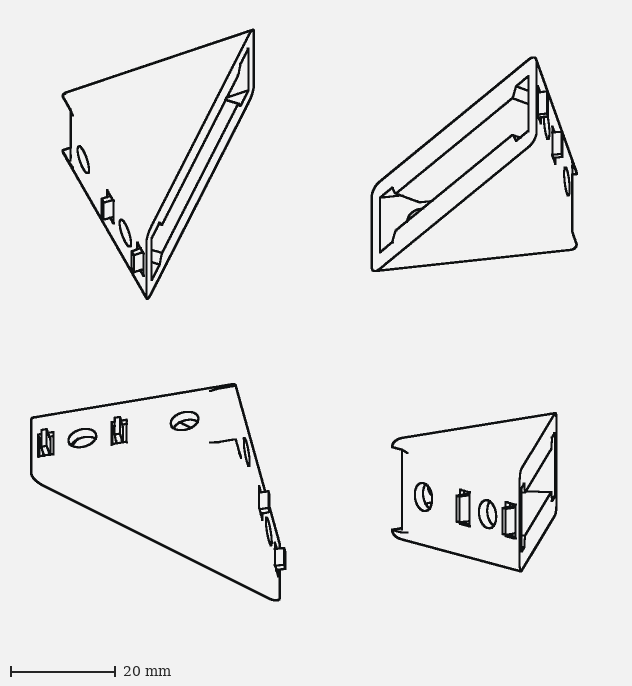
import cadquery as cq

overall = 41.6
leg = 40.0
height = 20.0
edge_radius = 1.9
corner_radius = 5.0
corner_cap = edge_radius
corner_root_radius = 0.35
corner_edge_radius = 0.2

wall = 2.0
corner_half_height = 3.5
middle_half_height = 4.2
tip_half_height = 6.25
step_distance = 10.25
middle_half_width = 20.0
tip_bevel = 0.35
tip_slope_width = 1.25

hole_diameter = 5.4
hole_places = (leg / 4, leg * 3 / 4)

tab_reach = overall - leg
tab_height = 5.08
tab_root = 1.2
tab_tip = 1.05
pocket_height = 6.65
pocket_width = 3.0
pocket_depth = 1.0
pocket_places = (22.85, 37.15)
tab_straight_sides = (22.3, 37.7)

ALONG_DIAGONAL = cq.Plane(origin=(0, 0, 0), xDir=(1, -1, 0), normal=(1, 1, 0))


def triangle(offset, thickness):
    """A triangular prism centred on Z = 0, its two legs set in from the outer faces by the offset."""
    end = leg - offset
    return (
        cq.Workplane("XY", origin=(0, 0, -thickness / 2))
        .moveTo(offset, offset)
        .lineTo(end, offset)
        .lineTo(offset, end)
        .close()
        .extrude(thickness)
    )


def on_both_legs(shape):
    """The shape on the front leg together with its mirror image across the plane X = Y."""
    return shape.union(shape.rotate((0, 0, 0), (0, 0, 1), -90).mirror("XZ"))


def corner_rounding():
    """The material removed to round the upright corner, with a small fillet where it meets each cap."""
    depth = height - 2 * corner_cap
    block = cq.Workplane("XY").rect(2 * corner_radius, 2 * corner_radius).extrude(depth / 2, both=True)
    post = cq.Workplane("XY").center(corner_radius, corner_radius).circle(corner_radius)
    post = post.extrude(height, both=True)
    return block.cut(post).edges("%CIRCLE").fillet(corner_root_radius)


def cavity():
    """A shallow cavity near the corner that steps deeper beyond it, and deeper again at the two tips."""
    slope_end = middle_half_width + tip_slope_width
    upper_right = [
        (middle_half_width, middle_half_height),
        (middle_half_width + tip_bevel, middle_half_height + tip_bevel),
        (slope_end, tip_half_height),
        (leg, tip_half_height),
    ]
    lower_right = [(across, -up) for across, up in reversed(upper_right)]
    right = upper_right + lower_right
    left = [(-across, -up) for across, up in right]
    deep = (
        cq.Workplane(ALONG_DIAGONAL)
        .workplane(offset=step_distance)
        .polyline(right + left)
        .close()
        .extrude(leg)
        .intersect(triangle(wall, height))
    )
    return triangle(wall, 2 * corner_half_height).union(deep)


def screw_hole(place):
    return cq.Workplane("XZ").center(place, 0).circle(hole_diameter / 2).extrude(-leg)


def pocket(place):
    recess = cq.Workplane("XY").box(pocket_width, pocket_depth, pocket_height, centered=(True, False, True))
    return recess.translate((place, 0, 0))


def tab(straight_side, inward):
    """An upright tab with one square side; its other side, facing the outer hole, tapers to the tip."""
    return (
        cq.Workplane("XY", origin=(straight_side, 0, -tab_height / 2))
        .moveTo(0, pocket_depth)
        .lineTo(0, -tab_reach)
        .lineTo(inward * tab_tip, -tab_reach)
        .lineTo(inward * tab_root, pocket_depth)
        .close()
        .extrude(tab_height)
    )


def rounded_body():
    """The solid bracket with its upright corner eased and the outer edges of both legs rounded."""
    prism = triangle(0, height)
    upright_corner = cq.selectors.NearestToPointSelector((0, 0, 0))
    prism = prism.edges("|Z").edges(upright_corner).fillet(corner_edge_radius)
    return prism.faces("<X or <Y").edges("#Z").edges("|X or |Y").fillet(edge_radius)


body = rounded_body()
body = body.cut(corner_rounding()).cut(cavity())
for place in hole_places:
    body = body.cut(on_both_legs(screw_hole(place)))
for place in pocket_places:
    body = body.cut(on_both_legs(pocket(place)))
for straight_side, inward in zip(tab_straight_sides, (1, -1)):
    body = body.union(on_both_legs(tab(straight_side, inward)))

result = body